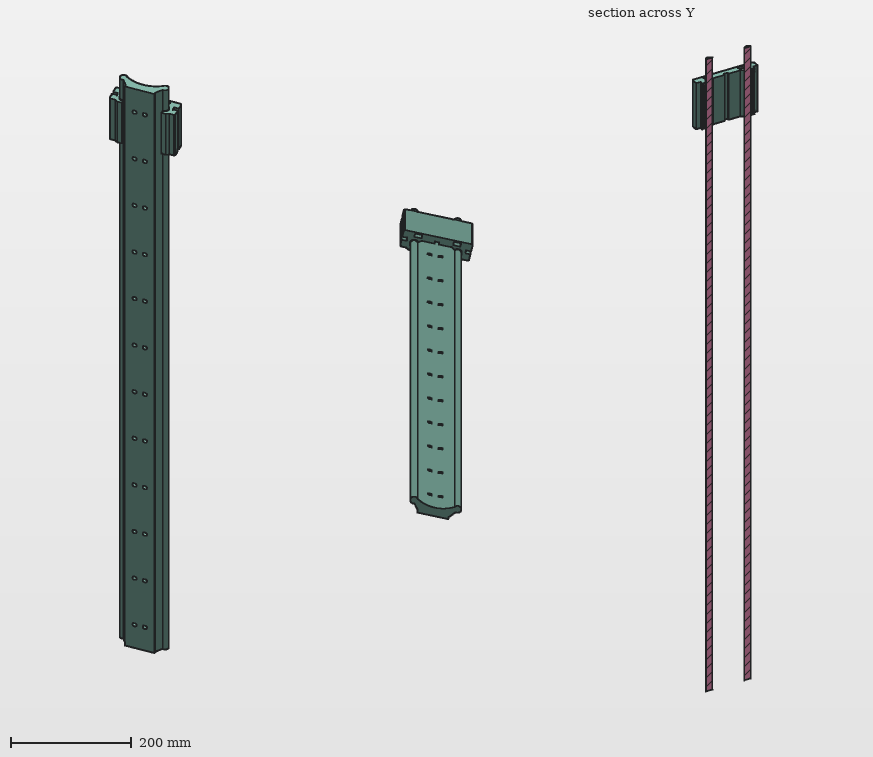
import cadquery as cq
import math


rail_length = 1219.0
rail_width = 87.0
shaft_radius = 6.3
shaft_x = rail_width / 2 - shaft_radius
back_y = -21.0
foot_half_width = 26.2
foot_top_y = -17.0
flank_top_x = 34.9
hollow_end_x = 32.0
hollow_y = -5.5

hole_rows = 12
hole_pitch = rail_length / hole_rows
hole_spacing = 18.0
hole_diameter = 7.0

carriage_width = 117.0
carriage_half_width = carriage_width / 2
carriage_length = 89.0
carriage_z = 520.0
carriage_top_y = 21.0
plate_bottom_y = 7.9
corner_chamfer = 1.8
side_slot_x = 50.0
side_slot_y = 2.0
arm_bottom_y = -10.0
lip_bottom_y = -12.8
lip_outer_x = 43.3
lip_slope_width = 5.0
lip_inner_x = 35.0
leg_inner_x = 25.0

liner_thickness = 1.0
bore_radius = shaft_radius + liner_thickness
liner_end_angle = 35.0

notch_width = 7.0
notch_depth = 4.0
channel_inner_x = 27.0
channel_outer_x = 39.0
channel_bottom_y = 12.0
channel_top_y = 18.0

bar_length = 74.0
bar_end_gap = 4.0
bar_pocket_length = bar_length + 2 * bar_end_gap
bar_thickness = 2.0
bar_inner_x = side_slot_x - bar_thickness


def extrude_centred(profile, length, middle_z):
    return profile.extrude(length).translate((0, 0, middle_z - length / 2))


def mirrored(points):
    """The same points on the other side of X = 0, in reverse order."""
    return [(-x, y) for x, y in reversed(points)]


def block(x_min, x_max, y_min, y_max, length):
    """A block at the middle of the carriage."""
    profile = cq.Workplane("XY").center((x_min + x_max) / 2, (y_min + y_max) / 2)
    return extrude_centred(profile.rect(x_max - x_min, y_max - y_min), length, carriage_z)


def circle_offset(radius, x):
    """Height above the shaft centre of a circle around it, at the given X."""
    return math.sqrt(radius**2 - (x - shaft_x) ** 2)


def make_rail():
    flank_top = (flank_top_x, -circle_offset(shaft_radius, flank_top_x))
    hollow_end = (hollow_end_x, circle_offset(shaft_radius, hollow_end_x))
    shaft_edge = rail_width / 2
    profile = (
        cq.Workplane("XY")
        .moveTo(-foot_half_width, back_y)
        .lineTo(foot_half_width, back_y)
        .lineTo(foot_half_width, foot_top_y)
        .lineTo(*flank_top)
        .threePointArc((shaft_edge, 0), hollow_end)
        .threePointArc((0, hollow_y), (-hollow_end[0], hollow_end[1]))
        .threePointArc((-shaft_edge, 0), (-flank_top[0], flank_top[1]))
        .lineTo(-foot_half_width, foot_top_y)
        .close()
    )
    rail = extrude_centred(profile, rail_length, 0)
    holes = (
        cq.Workplane("XZ", origin=(0, shaft_radius, 0))
        .rarray(hole_spacing, hole_pitch, 2, hole_rows)
        .circle(hole_diameter / 2)
        .extrude(shaft_radius - back_y)
    )
    return rail.cut(holes)


def liner_ends(radius):
    """Lower and upper ends of the liner arc at the given radius around the right-hand shaft."""
    angle = math.radians(180 - liner_end_angle)
    lower = (lip_inner_x, -circle_offset(radius, lip_inner_x))
    upper = (shaft_x + radius * math.cos(angle), radius * math.sin(angle))
    return lower, upper


def make_carriage():
    bore_lower, bore_upper = liner_ends(bore_radius)
    arm = [
        (carriage_half_width - corner_chamfer, carriage_top_y),
        (carriage_half_width, carriage_top_y - corner_chamfer),
        (carriage_half_width, plate_bottom_y),
        (side_slot_x, plate_bottom_y),
        (side_slot_x, side_slot_y),
        (carriage_half_width, side_slot_y),
        (carriage_half_width, arm_bottom_y + corner_chamfer),
        (carriage_half_width - corner_chamfer, arm_bottom_y),
        (lip_outer_x + lip_slope_width, arm_bottom_y),
        (lip_outer_x, lip_bottom_y),
        (lip_inner_x, lip_bottom_y),
        bore_lower,
    ]
    underside = [bore_upper, (leg_inner_x, plate_bottom_y)]
    bore_side = shaft_x + bore_radius
    profile = (
        cq.Workplane("XY")
        .polyline(arm)
        .threePointArc((bore_side, 0), bore_upper)
        .polyline(underside + mirrored(underside), includeCurrent=False)
        .threePointArc((-bore_side, 0), (-bore_lower[0], bore_lower[1]))
        .polyline(mirrored(arm))
        .close()
    )
    carriage = extrude_centred(profile, carriage_length, carriage_z)

    half_notch = notch_width / 2
    notch_top_y = plate_bottom_y + notch_depth
    carriage = carriage.cut(block(-half_notch, half_notch, plate_bottom_y, notch_top_y, carriage_length))
    channel = block(channel_inner_x, channel_outer_x, channel_bottom_y, channel_top_y, carriage_length)
    bar_pocket = block(bar_inner_x, side_slot_x, side_slot_y, plate_bottom_y, bar_pocket_length)
    for recess in (channel, bar_pocket):
        carriage = carriage.cut(recess).cut(recess.mirror("YZ"))
    return carriage


def make_liner():
    """The liner on the right-hand shaft."""
    outer_lower, outer_upper = liner_ends(bore_radius)
    inner_lower, inner_upper = liner_ends(shaft_radius)
    profile = (
        cq.Workplane("XY")
        .moveTo(*outer_lower)
        .threePointArc((shaft_x + bore_radius, 0), outer_upper)
        .lineTo(*inner_upper)
        .threePointArc((shaft_x + shaft_radius, 0), inner_lower)
        .close()
    )
    return extrude_centred(profile, carriage_length, carriage_z)


def make_slot_bar():
    """The bar set flush in the floor of the right-hand side slot."""
    return block(bar_inner_x, side_slot_x, side_slot_y, plate_bottom_y, bar_length)


rail = make_rail()
carriage = make_carriage()
liners = []
slot_bars = []
for bodies, right_body in ((liners, make_liner()), (slot_bars, make_slot_bar())):
    for body in (right_body, right_body.mirror("YZ")):
        bodies.append(body.val())

result = cq.Compound.makeCompound([rail.val(), carriage.val(), *liners, *slot_bars])